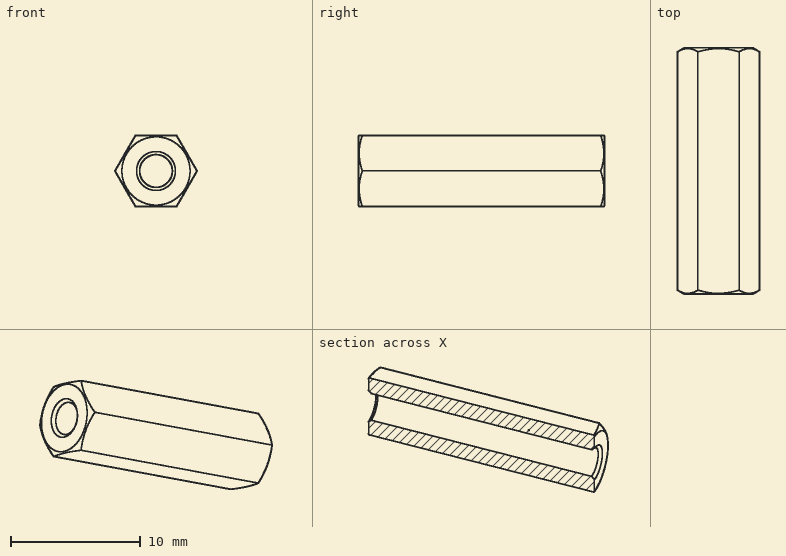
import cadquery as cq
import math

length = 19.0
across_flats = 5.5
across_corners = across_flats / math.cos(math.radians(30))

bore_diameter = 2.5
countersink_diameter = 3.0
countersink_depth = (countersink_diameter - bore_diameter) / 2

end_face_diameter = 5.26
end_chamfer_angle = 30.0


def revolve_about_y(points):
    """Revolve a closed (radius, y) profile about the Y axis."""
    return cq.Workplane("XY").polyline(points).close().revolve(360, (0, 0, 0), (0, 1, 0))


def hex_bar():
    """Hexagonal bar with flats on +Z and -Z and corners on +X and -X."""
    return cq.Workplane("XZ").polygon(6, across_corners).extrude(length / 2, both=True)


def chamfer_envelope():
    """Round bar wider than the hexagon, with a conical chamfer at each end."""
    half_length = length / 2
    face_radius = end_face_diameter / 2
    outer_radius = across_corners
    corner_drop = (outer_radius - face_radius) * math.tan(math.radians(end_chamfer_angle))
    shoulder = half_length - corner_drop
    return revolve_about_y([
        (0, -half_length),
        (face_radius, -half_length),
        (outer_radius, -shoulder),
        (outer_radius, shoulder),
        (face_radius, half_length),
        (0, half_length),
    ])


def countersunk_bore():
    """Through bore with a conical countersink at each end."""
    half_length = length / 2
    bore_radius = bore_diameter / 2
    mouth_radius = countersink_diameter / 2
    cone_end = half_length - countersink_depth
    return revolve_about_y([
        (0, -half_length),
        (mouth_radius, -half_length),
        (bore_radius, -cone_end),
        (bore_radius, cone_end),
        (mouth_radius, half_length),
        (0, half_length),
    ])


result = hex_bar().intersect(chamfer_envelope()).cut(countersunk_bore())